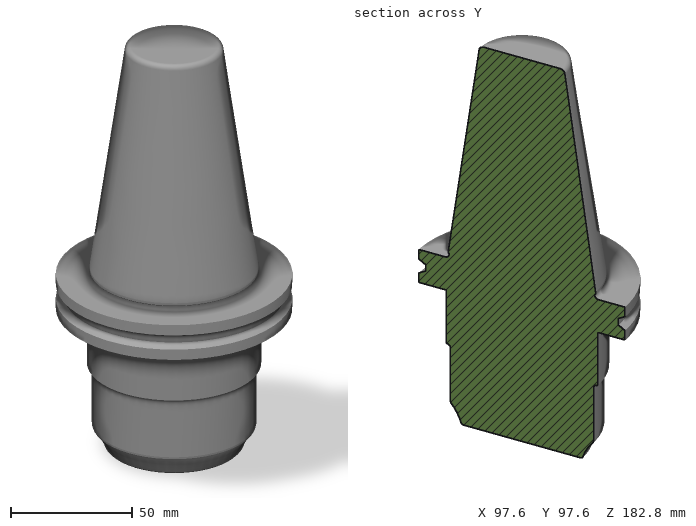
import cadquery as cq
import math

total_length = 182.8
flange_radius = 48.8

gauge_radius = 34.9
gauge_height = 81.1
taper_slope = 7 / 48
shank_end_radius = gauge_radius - (total_length - gauge_height) * taper_slope
shank_end_fillet = 2.4

neck_radius = 34.5
neck_fillet = 1.6
rim_thickness = 1.1
rim_chamfer = gauge_radius - neck_radius
rim_bottom = gauge_height - rim_thickness

flange_top = 77.9
flange_thickness = 15.9
flange_bottom = flange_top - flange_thickness
groove_center = (flange_top + flange_bottom) / 2
groove_depth = 3.1
groove_floor_half_width = 1.5
groove_wall_angle = 30
groove_mouth_half_width = (
    groove_floor_half_width + groove_depth * math.tan(math.radians(groove_wall_angle))
)
groove_radius = flange_radius - groove_depth

body_radius = 36.0
body_bottom = 36.5
body_chamfer = 0.5
nose_radius = 34.0
step_fillet = 1.3

nose_edge_top = 10.0
nose_edge_inset = 0.2
nose_edge_height = 1.0
nose_curve_mid = (30.7, 5.0)
nose_tip_radius = 28.9
nose_tip_chamfer = 0.7


def arc_point(center_x, center_z, radius, angle):
    """Point on an arc at the given angle, in degrees from the radial direction."""
    turn = math.radians(angle)
    return (center_x + radius * math.cos(turn), center_z + radius * math.sin(turn))


def make_holder():
    """Revolve the half profile, drawn upward from the nose tip, about the Z axis."""
    step_middle = arc_point(
        nose_radius + step_fillet, body_bottom - step_fillet, step_fillet, 135
    )
    neck_middle = arc_point(
        neck_radius + neck_fillet, flange_top + neck_fillet, neck_fillet, 225
    )
    profile = (
        cq.Workplane("XZ")
        .lineTo(nose_tip_radius - nose_tip_chamfer, 0)
        .lineTo(nose_tip_radius, nose_tip_chamfer)
        .threePointArc(
            nose_curve_mid,
            (nose_radius - nose_edge_inset, nose_edge_top - nose_edge_height),
        )
        .lineTo(nose_radius, nose_edge_top)
        .lineTo(nose_radius, body_bottom - step_fillet)
        .threePointArc(step_middle, (nose_radius + step_fillet, body_bottom))
        .lineTo(body_radius - body_chamfer, body_bottom)
        .lineTo(body_radius, body_bottom + body_chamfer)
        .lineTo(body_radius, flange_bottom)
        .lineTo(flange_radius, flange_bottom)
        .lineTo(flange_radius, groove_center - groove_mouth_half_width)
        .lineTo(groove_radius, groove_center - groove_floor_half_width)
        .lineTo(groove_radius, groove_center + groove_floor_half_width)
        .lineTo(flange_radius, groove_center + groove_mouth_half_width)
        .lineTo(flange_radius, flange_top)
        .lineTo(neck_radius + neck_fillet, flange_top)
        .threePointArc(neck_middle, (neck_radius, flange_top + neck_fillet))
        .lineTo(neck_radius, rim_bottom - rim_chamfer)
        .lineTo(gauge_radius, rim_bottom)
        .lineTo(gauge_radius, gauge_height)
        .lineTo(shank_end_radius, total_length)
        .lineTo(0, total_length)
        .close()
    )
    return profile.revolve(360, (0, 0, 0), (0, 1, 0))


def round_shank_end(holder):
    """Round the rim of the small end of the taper."""
    return holder.faces(">Z").edges().fillet(shank_end_fillet)


result = round_shank_end(make_holder())